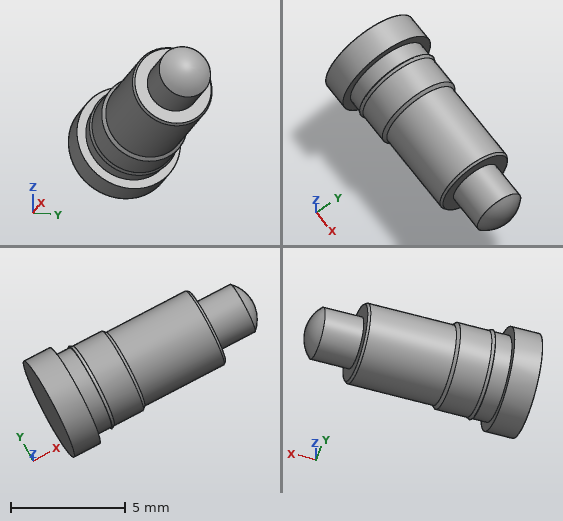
import cadquery as cq

head_radius = 2.38
collar_radius = 1.97
barb_radius = 2.04
barrel_radius = 1.83
plunger_radius = 1.18

head_end = 1.29
barb_start = 2.06
barb_length = 0.15
collar_end = 3.8
barrel_end = 7.86
dome_start = 9.64
total_length = 10.16

collar_bevel = collar_radius - barrel_radius
barrel_bevel = 0.11
barrel_bevel_depth = 0.08

dome_height = total_length - dome_start
dome_radius = (plunger_radius**2 + dome_height**2) / (2 * dome_height)
dome_center = total_length - dome_radius
dome_mid_x = (dome_start + total_length) / 2
dome_mid_radius = (dome_radius**2 - (dome_mid_x - dome_center) ** 2) ** 0.5

half_section = (
    cq.Workplane("XY")
    .moveTo(0, 0)
    .lineTo(0, head_radius)
    .lineTo(head_end, head_radius)
    .lineTo(head_end, collar_radius)
    .lineTo(barb_start, collar_radius)
    .lineTo(barb_start, barb_radius)
    .lineTo(barb_start + barb_length, collar_radius)
    .lineTo(collar_end - collar_bevel, collar_radius)
    .lineTo(collar_end, barrel_radius)
    .lineTo(barrel_end - barrel_bevel, barrel_radius)
    .lineTo(barrel_end, barrel_radius - barrel_bevel_depth)
    .lineTo(barrel_end, plunger_radius)
    .lineTo(dome_start, plunger_radius)
    .threePointArc((dome_mid_x, dome_mid_radius), (total_length, 0))
    .close()
)

result = half_section.revolve(360, (0, 0, 0), (1, 0, 0))